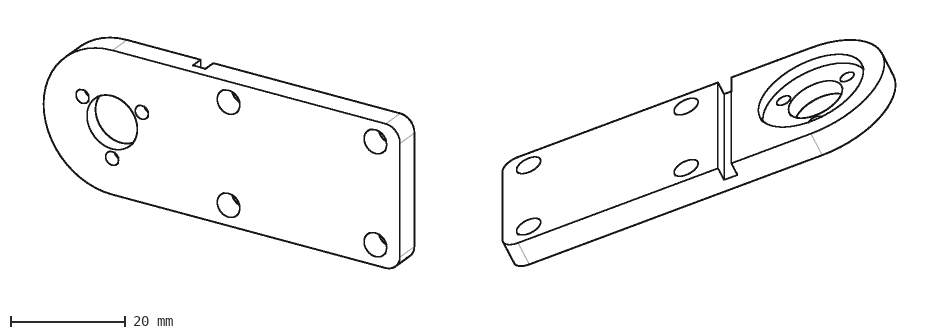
import cadquery as cq
import math

length = 72.8
width = 28.0
thickness = 4.9
end_radius = width / 2
corner_radius = 3.0
right_end = length - end_radius

bore_diameter = 10.3
small_hole_diameter = 2.6
small_hole_circle_radius = 7.0
small_hole_count = 3
first_hole_angle = -90.0

recess_diameter = 20.0
recess_depth = 2.0

mount_hole_diameter = 4.6
mount_spacing_x = 30.0
mount_spacing_z = 20.0
mount_end_margin = 5.0

groove_left = 15.15
groove_width = 2.55
groove_depth = 2.6


def make_plate():
    """Flat plate with a semicircular left end and rounded right corners."""
    outline = (
        cq.Workplane("XZ")
        .moveTo(0, end_radius)
        .lineTo(right_end, end_radius)
        .lineTo(right_end, -end_radius)
        .lineTo(0, -end_radius)
        .threePointArc((-end_radius, 0), (0, end_radius))
        .close()
    )
    return outline.extrude(-thickness).edges("|Y and >X").fillet(corner_radius)


def make_holes(centres, diameter):
    """Cylinders through the full thickness at the given (X, Z) centres."""
    return cq.Workplane("XZ").pushPoints(centres).circle(diameter / 2).extrude(-thickness)


def make_groove():
    """Rectangular groove in the back face, running the full width along Z."""
    return cq.Workplane("XY").box(
        groove_width, groove_depth, width, centered=(False, False, True)
    ).translate((groove_left, thickness - groove_depth, 0))


def make_recess():
    """Shallow round pocket that opens on the back face."""
    floor = cq.Workplane("XZ", origin=(0, thickness - recess_depth, 0))
    return floor.circle(recess_diameter / 2).extrude(-recess_depth)


small_hole_angles = [
    math.radians(first_hole_angle + i * 360 / small_hole_count)
    for i in range(small_hole_count)
]
small_hole_centres = [
    (small_hole_circle_radius * math.cos(a), small_hole_circle_radius * math.sin(a))
    for a in small_hole_angles
]

mount_right = right_end - mount_end_margin
mount_centres = [
    (x, side * mount_spacing_z / 2)
    for x in (mount_right - mount_spacing_x, mount_right)
    for side in (-1, 1)
]

result = (
    make_plate()
    .cut(make_holes([(0, 0)], bore_diameter))
    .cut(make_holes(small_hole_centres, small_hole_diameter))
    .cut(make_holes(mount_centres, mount_hole_diameter))
    .cut(make_recess())
    .cut(make_groove())
)